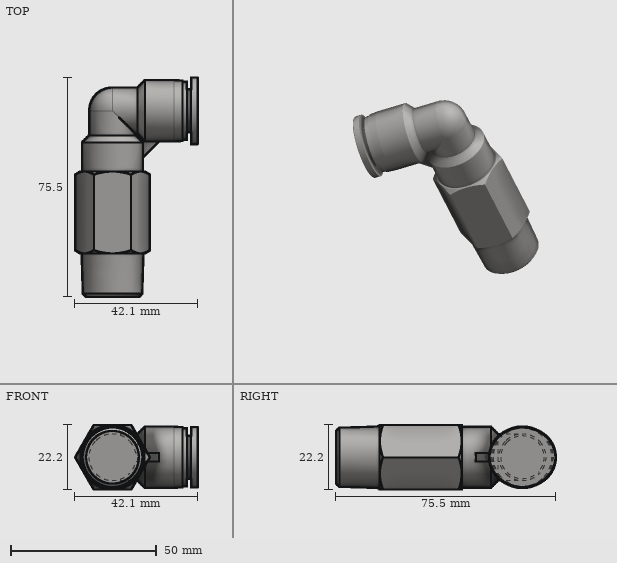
import cadquery as cq
import math


BEND_RADIUS = 8.05
STUB_RADIUS = 21.0 / 2
STUB_CONE_START = 8.4
STUB_END = 20.8
SOCKET_RADIUS = 21.2 / 2
SOCKET_CONE_START = 8.6
SOCKET_TAPER_START = 21.1
SOCKET_TAPER_END = 24.1
SOCKET_TAPER_RADIUS = 20.8 / 2
COLLAR_RADIUS = 20.0 / 2
COLLAR_END = 25.5
RIB_THICKNESS = 3.0
RIB_REACH = 26.5

HEX_ACROSS_FLATS = 22.23
HEX_CORNER_RADIUS = HEX_ACROSS_FLATS / math.sqrt(3)
HEX_LENGTH = 28.2
HEX_FACE_RADIUS = 11.05
HEX_CHAMFER_ANGLE = 32.0
STUD_TIP = 64.0
THREAD_TIP_RADIUS = 20.5 / 2
THREAD_RADIUS_TAPER = 1 / 32
TIP_CHAMFER = 1.2

SLEEVE_RADIUS = 14.8 / 2
FLANGE_HALF_WIDTH = 23.0 / 2
FLANGE_HALF_HEIGHT = 20.8 / 2
FLANGE_THICKNESS = 2.3
FLANGE_CHAMFER = 0.2
OVERALL_WIDTH = 42.13
SLEEVE_END = OVERALL_WIDTH - HEX_CORNER_RADIUS


def turned_along_x(profile):
    """Revolve an outline of (x, radius) points about the X axis."""
    return cq.Workplane("XY").polyline(profile).close().revolve(360, (0, 0, 0), (1, 0, 0))


def turned_along_minus_y(profile):
    """Revolve an outline of (distance along -Y, radius) points about the Y axis."""
    outline = [(radius, -distance) for distance, radius in profile]
    return cq.Workplane("XY").polyline(outline).close().revolve(360, (0, 0, 0), (0, 1, 0))


def make_rib():
    """Triangular web filling the inner corner between the two arms."""
    corners = [(0, 0), (RIB_REACH, 0), (0, -RIB_REACH)]
    web = cq.Workplane("XY").polyline(corners).close().extrude(RIB_THICKNESS / 2, both=True)
    inner_corner = (
        cq.Workplane("XY")
        .rect(SOCKET_TAPER_START, -STUB_END, centered=False)
        .extrude(RIB_THICKNESS / 2, both=True)
    )
    return web.intersect(inner_corner)


def make_elbow():
    stub_cone_end = STUB_CONE_START + STUB_RADIUS - BEND_RADIUS
    stub = turned_along_minus_y([
        (0, 0),
        (0, BEND_RADIUS),
        (STUB_CONE_START, BEND_RADIUS),
        (stub_cone_end, STUB_RADIUS),
        (STUB_END, STUB_RADIUS),
        (STUB_END, 0),
    ])
    socket_cone_end = SOCKET_CONE_START + SOCKET_RADIUS - BEND_RADIUS
    socket = turned_along_x([
        (0, 0),
        (0, BEND_RADIUS),
        (SOCKET_CONE_START, BEND_RADIUS),
        (socket_cone_end, SOCKET_RADIUS),
        (SOCKET_TAPER_START, SOCKET_RADIUS),
        (SOCKET_TAPER_END, SOCKET_TAPER_RADIUS),
        (SOCKET_TAPER_END, COLLAR_RADIUS),
        (COLLAR_END, COLLAR_RADIUS),
        (COLLAR_END, 0),
    ])
    bend = cq.Workplane("XY").sphere(BEND_RADIUS)
    return stub.union(socket).union(bend).union(make_rib())


def make_hexagon():
    """Hexagon with corners on +X and -X, its corners turned down at both ends."""
    hexagon = (
        cq.Workplane("XZ", origin=(0, -STUB_END, 0))
        .polygon(6, 2 * HEX_CORNER_RADIUS)
        .extrude(HEX_LENGTH)
    )
    hex_end = STUB_END + HEX_LENGTH
    corner_drop = (HEX_CORNER_RADIUS - HEX_FACE_RADIUS) * math.tan(math.radians(HEX_CHAMFER_ANGLE))
    turned_envelope = turned_along_minus_y([
        (STUB_END, 0),
        (STUB_END, HEX_FACE_RADIUS),
        (STUB_END + corner_drop, HEX_CORNER_RADIUS),
        (hex_end - corner_drop, HEX_CORNER_RADIUS),
        (hex_end, HEX_FACE_RADIUS),
        (hex_end, 0),
    ])
    return hexagon.intersect(turned_envelope)


def make_stud():
    thread_start = STUB_END + HEX_LENGTH
    chamfer_start = STUD_TIP - TIP_CHAMFER
    thread_start_radius = THREAD_TIP_RADIUS + (chamfer_start - thread_start) * THREAD_RADIUS_TAPER
    thread = turned_along_minus_y([
        (thread_start, 0),
        (thread_start, thread_start_radius),
        (chamfer_start, THREAD_TIP_RADIUS),
        (STUD_TIP, THREAD_TIP_RADIUS - TIP_CHAMFER),
        (STUD_TIP, 0),
    ])
    return make_hexagon().union(thread)


def make_sleeve():
    flange_start = SLEEVE_END - FLANGE_THICKNESS
    neck = (
        cq.Workplane("YZ", origin=(COLLAR_END, 0, 0))
        .circle(SLEEVE_RADIUS)
        .extrude(flange_start - COLLAR_END)
    )
    flange = (
        cq.Workplane("YZ", origin=(flange_start, 0, 0))
        .ellipse(FLANGE_HALF_WIDTH, FLANGE_HALF_HEIGHT)
        .extrude(FLANGE_THICKNESS)
        .faces(">X")
        .chamfer(FLANGE_CHAMFER)
    )
    return neck.union(flange)


elbow = make_elbow().solids()
stud = make_stud().solids()
sleeve = make_sleeve().solids()

result = cq.Compound.makeCompound([elbow.val(), stud.val(), sleeve.val()])